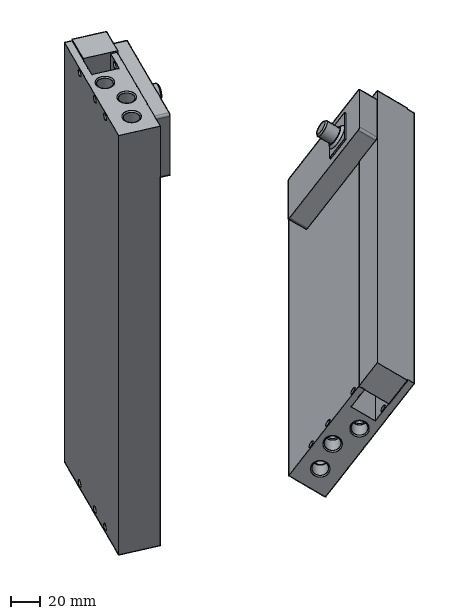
import cadquery as cq

WIDTH = 106.7
BODY_DEPTH = 29.8
TOTAL_HEIGHT = 363.0
END_STEP = 1.27
BODY_HEIGHT = TOTAL_HEIGHT - 2 * END_STEP

CHANNEL_RIGHT = 39.0
CHANNEL_FRONT = 5.5
CHANNEL_BACK = 25.0
BAR_WIDTH = 22.0
BAR_PROUD = 0.5

TAP_DIAMETER = 11.3
TAP_DEPTH = 14.5
MOUTH_CHAMFER = 0.9
PORTS = [(49.7, 11.0, 9.0), (69.7, 19.2, 8.7), (90.5, 15.2, 10.5)]

MOUNT_XS = (29.8, 60.0, 80.0)
MOUNT_DIAMETER = 5.0
MOUNT_END_DISTANCE = 4.0

HOUSING_LEFT = 0.18
HOUSING_RIGHT = 86.0
HOUSING_BACK = 44.3
HOUSING_TOP = TOTAL_HEIGHT / 2 - 10.5
HOUSING_HEIGHT = 53.5
HOUSING_CORNER_RADIUS = 1.8

CONNECTOR_X = 25.8
CONNECTOR_Z = TOTAL_HEIGHT / 2 - 40.3
CONNECTOR_TIP = 58.5
PLUG_DIAMETER = 12.5
PLUG_CHAMFER = 1.0
COLLAR_BASE_DIAMETER = 18.0
COLLAR_TOP_DIAMETER = 14.0
COLLAR_HEIGHT = 1.8
PLATE_WIDTH = 18.0
PLATE_HEIGHT = 35.0
PLATE_THICKNESS = 1.0
PLATE_Z = TOTAL_HEIGHT / 2 - 37.8


def block(x_range, y_range, z_range):
    """Box between the given (low, high) limits along each axis."""
    lows, highs = zip(x_range, y_range, z_range)
    sizes = [high - low for low, high in zip(lows, highs)]
    return cq.Workplane("XY").box(*sizes, centered=False).translate(lows)


def make_body():
    half_body = BODY_HEIGHT / 2
    half_bar = TOTAL_HEIGHT / 2
    body = block((0, WIDTH), (0, BODY_DEPTH), (-half_body, half_body))
    channel = block((0, CHANNEL_RIGHT), (CHANNEL_FRONT, CHANNEL_BACK), (-half_body, half_body))
    bar = block((0, BAR_WIDTH), (CHANNEL_FRONT, BODY_DEPTH + BAR_PROUD), (-half_bar, half_bar))
    return body.cut(channel).union(bar)


def make_port(x, y, bore_diameter):
    """Stepped port through the body, turned from a half profile of (radius, Z)."""
    end = BODY_HEIGHT / 2
    tap_end = end - TAP_DEPTH
    tap_radius = TAP_DIAMETER / 2
    bore_radius = bore_diameter / 2
    upper = [
        (bore_radius, tap_end),
        (tap_radius, tap_end),
        (tap_radius, end - MOUTH_CHAMFER),
        (tap_radius + MOUTH_CHAMFER, end),
        (0, end),
    ]
    lower = [(radius, -z) for radius, z in reversed(upper)]
    half_profile = cq.Workplane("XZ").polyline(upper + lower).close()
    return half_profile.revolve(360, (0, 0, 0), (0, 1, 0)).translate((x, y, 0))


def cut_ports(body):
    for x, y, bore_diameter in PORTS:
        body = body.cut(make_port(x, y, bore_diameter))
    return body


def cut_mount_holes(body):
    hole_z = BODY_HEIGHT / 2 - MOUNT_END_DISTANCE
    centres = [(x, z) for x in MOUNT_XS for z in (-hole_z, hole_z)]
    holes = cq.Workplane("XZ").pushPoints(centres).circle(MOUNT_DIAMETER / 2).extrude(-BODY_DEPTH)
    return body.cut(holes)


def make_housing():
    z_range = (HOUSING_TOP - HOUSING_HEIGHT, HOUSING_TOP)
    housing = block((HOUSING_LEFT, HOUSING_RIGHT), (BODY_DEPTH, HOUSING_BACK), z_range)
    return housing.edges("|Y").fillet(HOUSING_CORNER_RADIUS)


def make_connector():
    plate_back = HOUSING_BACK + PLATE_THICKNESS
    collar_back = plate_back + COLLAR_HEIGHT
    plate = block(
        (CONNECTOR_X - PLATE_WIDTH / 2, CONNECTOR_X + PLATE_WIDTH / 2),
        (HOUSING_BACK, plate_back),
        (PLATE_Z - PLATE_HEIGHT / 2, PLATE_Z + PLATE_HEIGHT / 2),
    )
    plug_radius = PLUG_DIAMETER / 2
    profile = [
        (0, plate_back),
        (COLLAR_BASE_DIAMETER / 2, plate_back),
        (COLLAR_TOP_DIAMETER / 2, collar_back),
        (plug_radius, collar_back),
        (plug_radius, CONNECTOR_TIP - PLUG_CHAMFER),
        (plug_radius - PLUG_CHAMFER, CONNECTOR_TIP),
        (0, CONNECTOR_TIP),
    ]
    turned = cq.Workplane("XY").polyline(profile).close().revolve(360, (0, 0, 0), (0, 1, 0))
    return plate.union(turned.translate((CONNECTOR_X, 0, CONNECTOR_Z)))


result = cut_mount_holes(cut_ports(make_body())).union(make_housing()).union(make_connector())